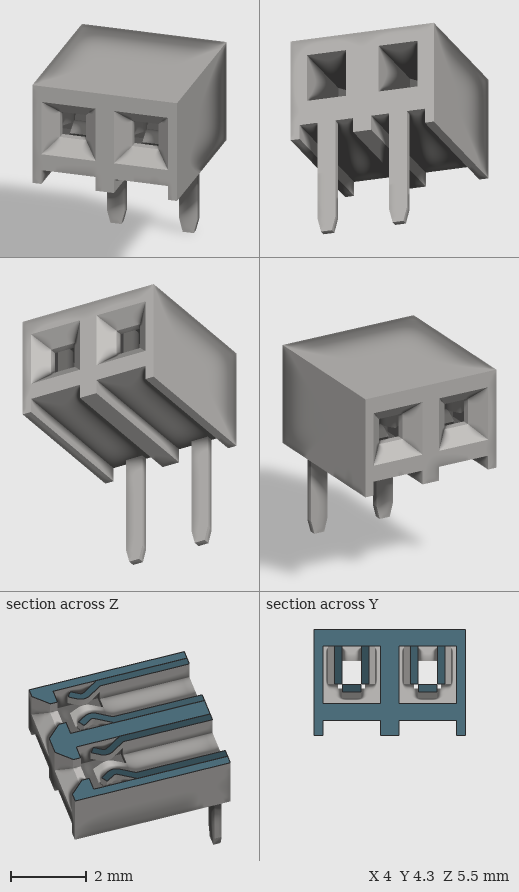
import cadquery as cq
import math


housing_width = 4.0
housing_depth = 4.3
housing_height = 2.8
contact_count = 2
pitch = housing_width / contact_count
foot_height = 0.395
mouth_size = 1.495
throat_size = 0.72
funnel_depth = 0.39
throat_end = 0.6
socket_axis_z = housing_height - 1.2
cavity_half = mouth_size / 2

sheet = 0.205
pin_width = 0.495
pin_tip_width = 0.3
pin_tip_height = 0.37
total_height = 5.5
pin_bottom = housing_height - total_height
channel_half = cavity_half - sheet

blade_angle = math.radians(33)
blade_tip_y = 0.9
tip_offset = 0.445
bend_offset = 0.3
crown_offset = 0.255
crown_radius = (bend_offset - crown_offset) / (1 - math.cos(blade_angle))
crown_half_length = crown_radius * math.sin(blade_angle)
crown_y = blade_tip_y + (tip_offset - bend_offset) / math.tan(blade_angle) + crown_half_length
blade_root_y = crown_y + crown_half_length + (channel_half - bend_offset) / math.tan(blade_angle)

socket_xs = [(i - (contact_count - 1) / 2) * pitch for i in range(contact_count)]


def box(x_range, y_range, z_range):
    """Box spanning the given (low, high) range along each axis."""
    size = [high - low for low, high in (x_range, y_range, z_range)]
    return cq.Workplane("XY").box(*size, centered=False).translate((x_range[0], y_range[0], z_range[0]))


def centred_span(width):
    return (-width / 2, width / 2)


def make_socket_void():
    """Funnel, throat and rear cavity around the Y axis, plus the pin slot down through the floor."""
    funnel = (
        cq.Workplane("XZ")
        .rect(mouth_size, mouth_size)
        .workplane(offset=-funnel_depth)
        .rect(throat_size, throat_size)
        .loft(ruled=True)
    )
    throat_span = centred_span(throat_size)
    throat = box(throat_span, (funnel_depth, throat_end), throat_span)
    cavity_span = centred_span(mouth_size)
    cavity = box(cavity_span, (throat_end, housing_depth), cavity_span)
    pin_slot = box(centred_span(pin_width), (housing_depth - sheet, housing_depth), (-socket_axis_z, 0))
    return funnel.union(throat).union(cavity).union(pin_slot)


def make_housing():
    body = box(centred_span(housing_width), (0, housing_depth), (0, housing_height))
    void = make_socket_void()
    recess = box(centred_span(mouth_size), (0, housing_depth), (0, foot_height))
    for x in socket_xs:
        body = body.cut(void.translate((x, 0, socket_axis_z))).cut(recess.translate((x, 0, 0)))
    return body


def make_blade(x_range):
    """Spring blade below the Y axis: slanted lead-in, rounded crown, then a slope down to its root."""
    sine = math.sin(blade_angle)
    cosine = math.cos(blade_angle)
    outer_radius = crown_radius - sheet
    crown_centre = crown_offset + crown_radius
    outer_bend = crown_centre - outer_radius * cosine
    profile = (
        cq.Workplane("YZ")
        .moveTo(blade_tip_y, -tip_offset)
        .lineTo(crown_y - crown_half_length, -bend_offset)
        .threePointArc((crown_y, -crown_offset), (crown_y + crown_half_length, -bend_offset))
        .lineTo(blade_root_y, -channel_half)
        .lineTo(blade_root_y, -cavity_half)
        .lineTo(blade_root_y - sheet * math.tan(blade_angle / 2), -cavity_half)
        .lineTo(crown_y + outer_radius * sine, -outer_bend)
        .threePointArc((crown_y, -crown_offset - sheet), (crown_y - outer_radius * sine, -outer_bend))
        .lineTo(blade_tip_y + sheet * sine, -tip_offset - sheet * cosine)
        .close()
    )
    return profile.extrude(x_range[1] - x_range[0]).translate((x_range[0], 0, 0))


def make_channel():
    """U-shaped carrier lining the cavity floor and sides behind the blades."""
    y_range = (blade_root_y, housing_depth)
    outer = box((-cavity_half, cavity_half), y_range, (-cavity_half, cavity_half))
    inner = box((-channel_half, channel_half), y_range, (-channel_half, cavity_half))
    return outer.cut(inner)


def make_pin():
    """Flat solder pin with a tapered end, hanging from the rear edge of the channel floor."""
    bottom = pin_bottom - socket_axis_z
    half_width = pin_width / 2
    half_tip = pin_tip_width / 2
    outline = [
        (-half_width, -channel_half),
        (half_width, -channel_half),
        (half_width, bottom + pin_tip_height),
        (half_tip, bottom),
        (-half_tip, bottom),
        (-half_width, bottom + pin_tip_height),
    ]
    return cq.Workplane("XZ", origin=(0, housing_depth, 0)).polyline(outline).close().extrude(sheet)


def make_contact(x):
    floor_blade = make_blade(centred_span(pin_width))
    left_blade = make_blade((-cavity_half, crown_offset)).rotate((0, 0, 0), (0, 1, 0), 90)
    right_blade = left_blade.mirror("YZ")
    contact = make_channel().union(make_pin())
    for blade in (floor_blade, left_blade, right_blade):
        contact = contact.union(blade)
    return contact.translate((x, 0, socket_axis_z))


housing = make_housing()
contacts = [make_contact(x) for x in socket_xs]
result = cq.Compound.makeCompound([housing.solids().val(), *[contact.solids().val() for contact in contacts]])